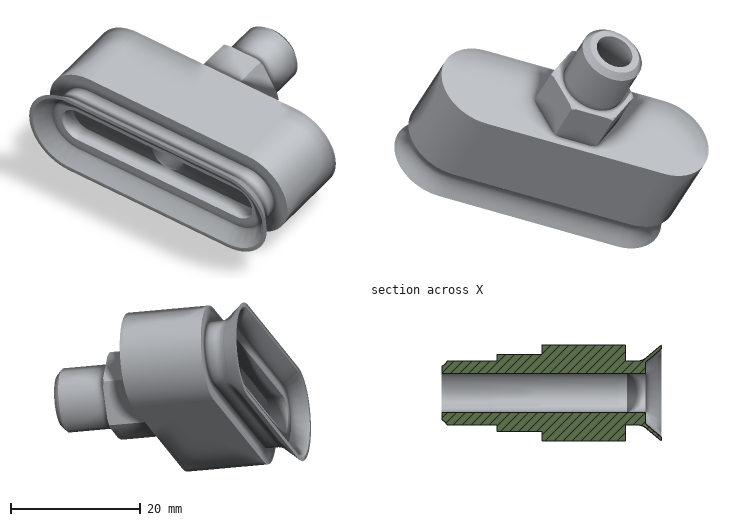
import cadquery as cq
import math


length = 45.0
width = 45.0 / 3
body_depth = 13.0
end_radius = width / 2
end_offset = length / 2 - end_radius

cup_depth = 5.55
neck_radius = 5.0
flare_angle = math.radians(40)
flare_blend_radius = 2.0
lip_thickness = 0.68
floor_radius = 4.75
hole_diameter = 6.0
slot_radius = hole_diameter / 2
slot_depth = 2.9

hex_across_flats = 12.0
hex_length = 6.98
hex_chamfer_diameter = 13.05
hex_chamfer_angle = math.radians(30)
pin_diameter = 10.0
pin_length = 8.5
pin_chamfer = 0.9

body_back = cup_depth + body_depth
hex_back = body_back + hex_length


def cup_and_body_section():
    """Half section: distance from the end axis, then position along Y."""
    blend_step = flare_blend_radius * (1 - math.cos(flare_angle))
    blend_height = flare_blend_radius * math.sin(flare_angle)
    flare_height = (end_radius - neck_radius - blend_step) / math.tan(flare_angle)
    half_angle = flare_angle / 2
    blend_middle = (
        neck_radius + flare_blend_radius * (1 - math.cos(half_angle)),
        flare_height + blend_height - flare_blend_radius * math.sin(half_angle),
    )
    inner_rim_radius = end_radius - lip_thickness
    floor_y = (inner_rim_radius - floor_radius) / math.tan(flare_angle)
    slot_floor_y = floor_y + slot_depth
    return (
        cq.Workplane("XY")
        .moveTo(0, body_back)
        .lineTo(end_radius, body_back)
        .lineTo(end_radius, cup_depth)
        .lineTo(neck_radius, cup_depth)
        .lineTo(neck_radius, flare_height + blend_height)
        .threePointArc(blend_middle, (neck_radius + blend_step, flare_height))
        .lineTo(end_radius, 0)
        .lineTo(inner_rim_radius, 0)
        .lineTo(floor_radius, floor_y)
        .lineTo(slot_radius, floor_y)
        .lineTo(slot_radius, slot_floor_y)
        .lineTo(0, slot_floor_y)
        .close()
    )


def make_cup_and_body():
    """Carry the half section around the oblong: two straight sides, two round ends."""
    side = (
        cup_and_body_section()
        .extrude(end_offset, both=True)
        .rotate((0, 0, 0), (0, 1, 0), 90)
    )
    round_end = cup_and_body_section().revolve(180, (0, 0, 0), (0, 1, 0))
    round_end = round_end.rotate((0, 0, 0), (0, 1, 0), -90)
    right_end = round_end.translate((end_offset, 0, 0))
    return (
        side.union(side.mirror("XY"))
        .union(right_end)
        .union(right_end.mirror("YZ"))
    )


def make_hex():
    """Hexagon with corners on the X axis, its corners chamfered at both ends."""
    corner_radius = hex_across_flats / math.sqrt(3)
    chamfer_radius = hex_chamfer_diameter / 2
    chamfer_height = (corner_radius - chamfer_radius) * math.tan(hex_chamfer_angle)
    prism = (
        cq.Workplane("XZ", origin=(0, body_back, 0))
        .polygon(6, 2 * corner_radius)
        .extrude(-hex_length)
    )
    chamfer_envelope = (
        cq.Workplane("XY")
        .moveTo(0, body_back)
        .lineTo(chamfer_radius, body_back)
        .lineTo(corner_radius, body_back + chamfer_height)
        .lineTo(corner_radius, hex_back - chamfer_height)
        .lineTo(chamfer_radius, hex_back)
        .lineTo(0, hex_back)
        .close()
        .revolve(360, (0, 0, 0), (0, 1, 0))
    )
    return prism.intersect(chamfer_envelope)


def make_pin():
    return (
        cq.Workplane("XZ", origin=(0, hex_back, 0))
        .circle(pin_diameter / 2)
        .extrude(-pin_length)
        .faces(">Y")
        .chamfer(pin_chamfer)
    )


def make_through_hole():
    return (
        cq.Workplane("XZ")
        .circle(hole_diameter / 2)
        .extrude(-(hex_back + pin_length))
    )


result = (
    make_cup_and_body()
    .union(make_hex())
    .union(make_pin())
    .cut(make_through_hole())
)